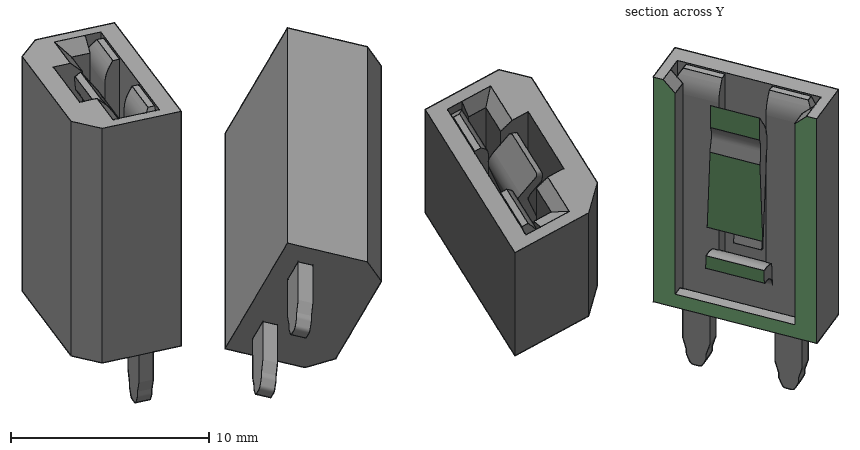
import cadquery as cq
import math


WIDTH = 9.0
DEPTH = 5.5
HEIGHT = 14.0
BEVEL = 1.2
FLOOR = 0.5

SLOT_HALF_WIDTH = 3.28
SLOT_FRONT_Y = -0.07
LEAD_IN = 0.67
STEP_CHAMFER = 0.35

BACK_WALL_Y = 1.78
RECESS_HALF_WIDTH = SLOT_HALF_WIDTH + LEAD_IN

POCKET_HALF_WIDTH = 1.78
POCKET_FRONT_Y = -1.67

LATCH_WIDTH = 1.55
LATCH_DEPTH = 0.2
LATCH_ANGLE = 10.0

SHEET = 0.8
BACK_CLEARANCE = 0.05
END_CLEARANCE = 0.05
PLATE_BACK_Y = BACK_WALL_Y - BACK_CLEARANCE
PLATE_FRONT_Y = PLATE_BACK_Y - SHEET
PLATE_HALF_WIDTH = RECESS_HALF_WIDTH - END_CLEARANCE
PLATE_TOP = HEIGHT - 0.05
PLATE_END_LEAD = 0.45
PLATE_GAP_WIDTH = 2.6
LEAD_FLAT = 0.36
NOSE_RADIUS = 2.0
LEAD_ANGLE = 60.0

PIN_SPACING = 5.08
PIN_WIDTH = 1.5
PIN_LENGTH = 4.0
PIN_TAPER_START = 2.48
PIN_TAPER_END = 3.15
PIN_NECK_END = 3.44
PIN_NECK_WIDTH = 1.1
PIN_END_WIDTH = 0.6
PIN_SHOULDER_RADIUS = 0.32
PIN_END_RADIUS = 0.25

FOOT_RADIUS = 3.0 / 2
BEND_INNER_RADIUS = 0.36
BEND_FRONT_Y = -1.03
BEND_Y = BEND_FRONT_Y + BEND_INNER_RADIUS + SHEET
LEG_LEAN = 9.6
BUMP_RADIUS = 2.0
BUMP_Y = PLATE_FRONT_Y - BUMP_RADIUS
BUMP_Z = HEIGHT - 2.83
FLARE_ANGLE = 35.0
FLARE_LENGTH = 1.73
TIP_HALF_WIDTH = 1.35
BASE_HALF_WIDTH = 1.71
TIP_CORNER_RADIUS = 0.2

BEND_Z = BUMP_Z - (
    (BUMP_RADIUS + BEND_INNER_RADIUS) / math.sin(math.radians(LEG_LEAN))
    + (BUMP_Y - BEND_Y) / math.tan(math.radians(LEG_LEAN))
)
FOOT_TOP = BEND_Z - BEND_INNER_RADIUS
FOOT_Z = FOOT_TOP - FOOT_RADIUS


def box(x0, x1, y0, y1, z0, z1):
    """Box between two opposite corners."""
    return cq.Workplane("XY").box(x1 - x0, y1 - y0, z1 - z0, centered=False).translate((x0, y0, z0))


def polar(centre, radius, degrees):
    """Point at a radius and angle from a centre."""
    angle = math.radians(degrees)
    return (centre[0] + radius * math.cos(angle), centre[1] + radius * math.sin(angle))


def extrude_across(profile, half_width):
    """Extrude a profile of the YZ plane symmetrically along X."""
    return profile.close().extrude(half_width, both=True)


def housing_shell():
    """Block with two bevelled front corners."""
    block = box(-WIDTH / 2, WIDTH / 2, -DEPTH / 2, DEPTH / 2, 0, HEIGHT)
    return block.edges("|Z and <Y").chamfer(BEVEL)


def plate_recess():
    """Cavity behind the blade slot that takes the contact plate."""
    return box(-RECESS_HALF_WIDTH, RECESS_HALF_WIDTH, PLATE_FRONT_Y, BACK_WALL_Y, FLOOR, HEIGHT)


def stepped_slot(front_y, half_width):
    """Slot in front of the recess whose floor drops at 45 degrees towards it."""
    profile = cq.Workplane("YZ").polyline([
        (front_y, HEIGHT),
        (front_y, FLOOR + STEP_CHAMFER),
        (PLATE_FRONT_Y - STEP_CHAMFER, FLOOR + STEP_CHAMFER),
        (PLATE_FRONT_Y, FLOOR),
        (PLATE_FRONT_Y, HEIGHT),
    ])
    return extrude_across(profile, half_width)


def slot_lead_in():
    """45 degree lead-ins on the front and both ends of the slot mouth."""
    front_lead = cq.Workplane("YZ").polyline([
        (SLOT_FRONT_Y - LEAD_IN, HEIGHT),
        (SLOT_FRONT_Y, HEIGHT - LEAD_IN),
        (PLATE_FRONT_Y, HEIGHT - LEAD_IN),
        (PLATE_FRONT_Y, HEIGHT),
    ])
    end_leads = (
        cq.Workplane("XZ", origin=(0, PLATE_FRONT_Y, 0))
        .polyline([
            (-RECESS_HALF_WIDTH, HEIGHT),
            (-SLOT_HALF_WIDTH, HEIGHT - LEAD_IN),
            (SLOT_HALF_WIDTH, HEIGHT - LEAD_IN),
            (RECESS_HALF_WIDTH, HEIGHT),
        ])
        .close()
        .extrude(DEPTH / 2)
    )
    return extrude_across(front_lead, RECESS_HALF_WIDTH).intersect(end_leads)


def latch():
    """Wedge on the back wall, sloped on top, that holds the contact down."""
    rise = LATCH_DEPTH / math.tan(math.radians(LATCH_ANGLE))
    profile = cq.Workplane("YZ").polyline([
        (BACK_WALL_Y, FOOT_TOP),
        (BACK_WALL_Y - LATCH_DEPTH, FOOT_TOP),
        (BACK_WALL_Y, FOOT_TOP + rise),
    ])
    return extrude_across(profile, LATCH_WIDTH / 2)


def pin_centres():
    """X positions of the two pins."""
    return (-PIN_SPACING / 2, PIN_SPACING / 2)


def make_housing():
    """Housing with its cavities, pin openings and latch."""
    blade_slot = stepped_slot(SLOT_FRONT_Y, SLOT_HALF_WIDTH)
    spring_pocket = stepped_slot(POCKET_FRONT_Y, POCKET_HALF_WIDTH)
    body = housing_shell()
    for cavity in (plate_recess(), blade_slot, slot_lead_in(), spring_pocket):
        body = body.cut(cavity)
    for x in pin_centres():
        body = body.cut(
            box(x - PIN_WIDTH / 2, x + PIN_WIDTH / 2, PLATE_FRONT_Y, PLATE_BACK_Y, 0, FLOOR)
        )
    return body.union(latch())


def plate_nose_waste():
    """Material in front of the flat, sloped lead and round nose along the plate top."""
    nose_tilt = 90 - LEAD_ANGLE
    flat_end = (PLATE_BACK_Y - LEAD_FLAT, PLATE_TOP)
    tangent_y = PLATE_FRONT_Y + NOSE_RADIUS * (1 - math.cos(math.radians(nose_tilt)))
    tangent_z = PLATE_TOP - (flat_end[0] - tangent_y) * math.tan(math.radians(LEAD_ANGLE))
    nose_z = tangent_z - NOSE_RADIUS * math.sin(math.radians(nose_tilt))
    nose_centre = (PLATE_FRONT_Y + NOSE_RADIUS, nose_z)
    profile = (
        cq.Workplane("YZ")
        .moveTo(*flat_end)
        .lineTo(tangent_y, tangent_z)
        .threePointArc(polar(nose_centre, NOSE_RADIUS, 180 - nose_tilt / 2), (PLATE_FRONT_Y, nose_z))
        .lineTo(PLATE_FRONT_Y, PLATE_TOP)
    )
    return extrude_across(profile, PLATE_HALF_WIDTH)


def tip_lead_waste(tip_back, tip_front):
    """Wedge in front of the sloped lead at the spring tip, whose end runs from back to front."""
    lead_length = (SHEET - LEAD_FLAT) * math.tan(math.radians(LEAD_ANGLE))
    profile = cq.Workplane("YZ").polyline([
        polar(tip_back, LEAD_FLAT, FLARE_ANGLE + 180),
        polar(tip_front, lead_length, FLARE_ANGLE - 90),
        tip_front,
    ])
    return extrude_across(profile, TIP_HALF_WIDTH)


def contact_plate():
    """Upright plate with a lead-in on top, sloped ends and a gap in the middle."""
    top_half_width = PLATE_HALF_WIDTH - PLATE_END_LEAD
    end_z = PLATE_TOP - PLATE_END_LEAD * math.tan(math.radians(LEAD_ANGLE))
    blank = (
        cq.Workplane("XZ", origin=(0, PLATE_BACK_Y, 0))
        .polyline([
            (-PLATE_HALF_WIDTH, FLOOR),
            (-PLATE_HALF_WIDTH, end_z),
            (-top_half_width, PLATE_TOP),
            (top_half_width, PLATE_TOP),
            (PLATE_HALF_WIDTH, end_z),
            (PLATE_HALF_WIDTH, FLOOR),
        ])
        .close()
        .extrude(SHEET)
    )
    gap = box(-PLATE_GAP_WIDTH / 2, PLATE_GAP_WIDTH / 2, PLATE_FRONT_Y, PLATE_BACK_Y, FOOT_Z, PLATE_TOP)
    return blank.cut(plate_nose_waste()).cut(gap)


def pin(x):
    """Flat pin with a tapered, rounded lower end."""
    right_side = [
        (PIN_WIDTH / 2, FLOOR),
        (PIN_WIDTH / 2, -PIN_TAPER_START),
        (PIN_NECK_WIDTH / 2, -PIN_TAPER_END),
        (PIN_NECK_WIDTH / 2, -PIN_NECK_END),
        (PIN_END_WIDTH / 2, -PIN_LENGTH),
    ]
    left_side = [(-px, pz) for px, pz in reversed(right_side)]
    blank = (
        cq.Workplane("XZ", origin=(x, PLATE_BACK_Y, 0))
        .polyline(right_side + left_side)
        .close()
        .extrude(SHEET)
    )
    rounded = blank.edges("|Y and <Z").fillet(PIN_END_RADIUS)
    middle_y = PLATE_BACK_Y - SHEET / 2
    for shoulder_x in (x - PIN_NECK_WIDTH / 2, x + PIN_NECK_WIDTH / 2):
        point = (shoulder_x, middle_y, -PIN_NECK_END)
        rounded = rounded.edges(cq.selectors.NearestToPointSelector(point)).fillet(PIN_SHOULDER_RADIUS)
    return rounded


def spring():
    """Bent strip: arched foot, bend, leg leaning back, bump and flared tip."""
    foot = (PLATE_BACK_Y - FOOT_RADIUS, FOOT_Z)
    bump = (BUMP_Y, BUMP_Z)
    bend = (BEND_Y, BEND_Z)
    bend_outer_radius = BEND_INNER_RADIUS + SHEET
    leg_side = 180 - LEG_LEAN
    bend_middle = (leg_side + 270) / 2
    bump_middle = (FLARE_ANGLE - LEG_LEAN) / 2

    tip_back = polar(polar(bump, BUMP_RADIUS, FLARE_ANGLE), FLARE_LENGTH, FLARE_ANGLE + 90)
    tip_front = polar(tip_back, SHEET, FLARE_ANGLE + 180)
    inner_foot = FOOT_RADIUS - SHEET
    inner_bump = BUMP_RADIUS - SHEET
    profile = (
        cq.Workplane("YZ")
        .moveTo(*tip_back)
        .lineTo(*polar(bump, BUMP_RADIUS, FLARE_ANGLE))
        .threePointArc(polar(bump, BUMP_RADIUS, bump_middle), polar(bump, BUMP_RADIUS, -LEG_LEAN))
        .lineTo(*polar(bend, BEND_INNER_RADIUS, leg_side))
        .threePointArc(polar(bend, BEND_INNER_RADIUS, bend_middle), polar(bend, BEND_INNER_RADIUS, 270))
        .lineTo(*polar(foot, FOOT_RADIUS, 90))
        .threePointArc(polar(foot, FOOT_RADIUS, 45), polar(foot, FOOT_RADIUS, 0))
        .lineTo(*polar(foot, inner_foot, 0))
        .threePointArc(polar(foot, inner_foot, 45), polar(foot, inner_foot, 90))
        .lineTo(*polar(bend, bend_outer_radius, 270))
        .threePointArc(polar(bend, bend_outer_radius, bend_middle), polar(bend, bend_outer_radius, leg_side))
        .lineTo(*polar(bump, inner_bump, -LEG_LEAN))
        .threePointArc(polar(bump, inner_bump, bump_middle), polar(bump, inner_bump, FLARE_ANGLE))
        .lineTo(*tip_front)
    )
    outline = (
        cq.Workplane("XZ", origin=(0, DEPTH / 2, 0))
        .polyline([
            (-BASE_HALF_WIDTH, FLOOR),
            (-TIP_HALF_WIDTH, BUMP_Z),
            (-TIP_HALF_WIDTH, HEIGHT),
            (TIP_HALF_WIDTH, HEIGHT),
            (TIP_HALF_WIDTH, BUMP_Z),
            (BASE_HALF_WIDTH, FLOOR),
        ])
        .close()
        .extrude(DEPTH)
    )
    across_tip = cq.Vector(0, *polar((0, 0), 1, FLARE_ANGLE))
    strip = extrude_across(profile, BASE_HALF_WIDTH).intersect(outline)
    strip = strip.edges(cq.selectors.ParallelDirSelector(across_tip)).fillet(TIP_CORNER_RADIUS)
    return strip.cut(tip_lead_waste(tip_back, tip_front))


def make_contact():
    """Contact plate with its pins and spring as one body."""
    body = contact_plate()
    for x in pin_centres():
        body = body.union(pin(x))
    return body.union(spring())


housing = make_housing()
contact = make_contact()
result = cq.Compound.makeCompound([housing.val(), contact.val()])